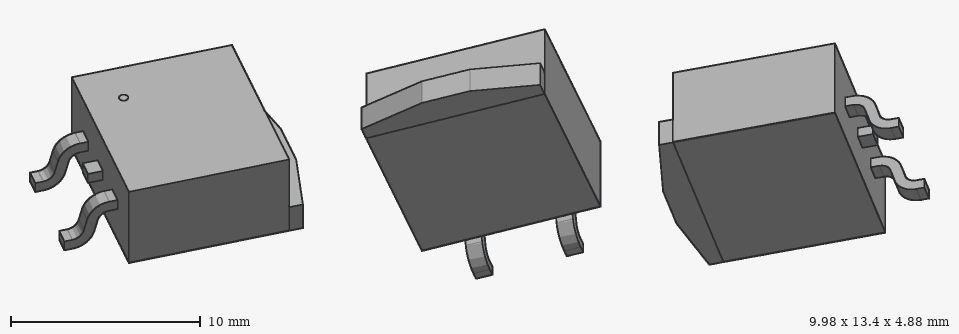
import cadquery as cq
import math

width = 9.98
overall_length = 13.36
overall_height = 4.88
housing_length = 8.87
base_gap = 0.04

tab_length = 1.55
tab_height = 1.62
tab_taper_length = 0.79
tab_tip_width = 2.67

lead_pitch = 5.08
lead_width = 0.92
lead_thickness = 0.61
lead_top = 2.75
lead_length = overall_length - housing_length - tab_length
foot_length = 0.44
inner_radius = 0.65
outer_radius = inner_radius + lead_thickness
bend_angle = math.radians(75)
stub_length = 0.83

marker_diameter = 0.5
marker_depth = 0.1
marker_x = -lead_pitch / 2
marker_y = 2.1


def make_marker():
    return (
        cq.Workplane("XY", origin=(marker_x, marker_y, overall_height - marker_depth))
        .circle(marker_diameter / 2)
        .extrude(marker_depth)
    )


def make_housing(marker):
    block = (
        cq.Workplane("XY", origin=(0, housing_length / 2, base_gap))
        .box(width, housing_length, overall_height - base_gap, centered=(True, True, False))
    )
    return block.cut(marker)


def make_heat_sink():
    """Tapered tab joined to a thin base sheet under the housing."""
    tab_end = housing_length + tab_length
    taper_start = tab_end - tab_taper_length
    tab = (
        cq.Workplane("XY")
        .moveTo(-width / 2, housing_length)
        .lineTo(width / 2, housing_length)
        .lineTo(width / 2, taper_start)
        .lineTo(tab_tip_width / 2, tab_end)
        .lineTo(-tab_tip_width / 2, tab_end)
        .lineTo(-width / 2, taper_start)
        .close()
        .extrude(tab_height)
    )
    base_sheet = (
        cq.Workplane("XY", origin=(0, housing_length / 2, 0))
        .box(width, housing_length, base_gap, centered=(True, True, False))
    )
    return tab.union(base_sheet)


def arc_point(center, radius, angle):
    """Point on a circle in the YZ plane, with the angle measured from +Y."""
    return (center[0] + radius * math.cos(angle), center[1] + radius * math.sin(angle))


def make_lead(x):
    """Gull-wing lead whose two equal bends are joined by a straight leg."""
    foot_end = -lead_length
    foot_start = foot_end + foot_length
    bend_radii = inner_radius + outer_radius
    leg_drop = lead_top - base_gap - lead_thickness - bend_radii * (1 - math.cos(bend_angle))
    leg_run = leg_drop / math.tan(bend_angle)
    shoulder_end = foot_start + bend_radii * math.sin(bend_angle) + leg_run

    upper_center = (shoulder_end, lead_top - outer_radius)
    lower_center = (foot_start, base_gap + outer_radius)
    upward = math.pi / 2
    downward = -math.pi / 2
    half_bend = bend_angle / 2

    profile = (
        cq.Workplane("YZ", origin=(x - lead_width / 2, 0, 0))
        .moveTo(0, lead_top)
        .lineTo(shoulder_end, lead_top)
        .threePointArc(
            arc_point(upper_center, outer_radius, upward + half_bend),
            arc_point(upper_center, outer_radius, upward + bend_angle),
        )
        .lineTo(*arc_point(lower_center, inner_radius, downward + bend_angle))
        .threePointArc(
            arc_point(lower_center, inner_radius, downward + half_bend),
            arc_point(lower_center, inner_radius, downward),
        )
        .lineTo(foot_end, base_gap + lead_thickness)
        .lineTo(foot_end, base_gap)
        .lineTo(foot_start, base_gap)
        .threePointArc(
            arc_point(lower_center, outer_radius, downward + half_bend),
            arc_point(lower_center, outer_radius, downward + bend_angle),
        )
        .lineTo(*arc_point(upper_center, inner_radius, upward + bend_angle))
        .threePointArc(
            arc_point(upper_center, inner_radius, upward + half_bend),
            arc_point(upper_center, inner_radius, upward),
        )
        .lineTo(0, lead_top - lead_thickness)
        .close()
    )
    return profile.extrude(lead_width)


def make_center_stub():
    """Cut-off middle lead."""
    return (
        cq.Workplane("XY", origin=(0, -stub_length / 2, lead_top - lead_thickness))
        .box(lead_width, stub_length, lead_thickness, centered=(True, True, False))
    )


marker = make_marker()
housing = make_housing(marker)
heat_sink = make_heat_sink()
center_stub = make_center_stub()
leads = [make_lead(side * lead_pitch / 2) for side in (-1, 1)]

result = cq.Compound.makeCompound(
    [
        housing.solids().val(),
        heat_sink.solids().val(),
        marker.val(),
        center_stub.val(),
        *[lead.val() for lead in leads],
    ]
)